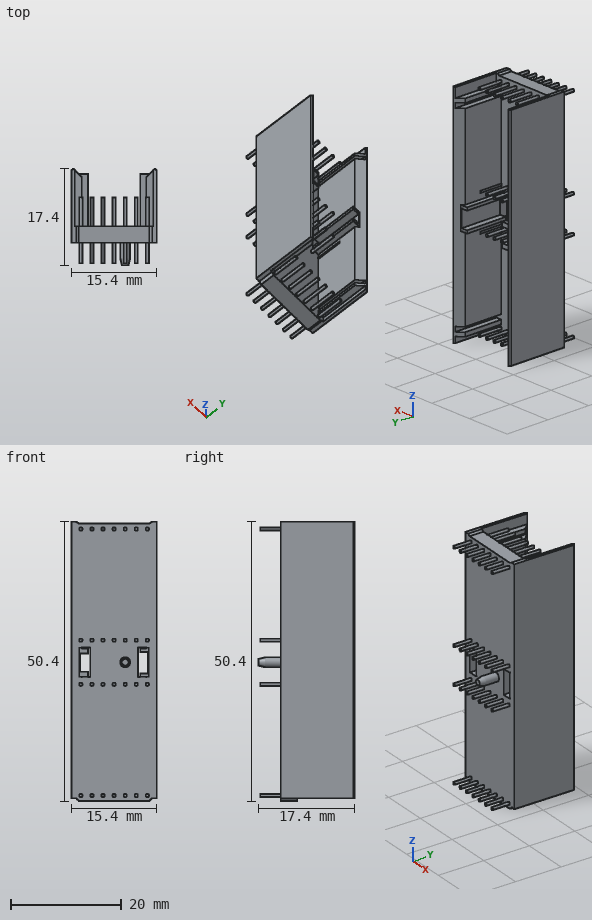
import cadquery as cq


width = 15.4
half_width = width / 2
wall_height = 13.4
length = 50.35
base_half_length = 25.0
wall_top = length - base_half_length
wall_bottom = -24.5

base_thickness = 3.0
end_land = 0.85
end_slope_width = 0.5

wall_thickness = 0.6
tip_peak_inset = 0.35
tip_outer_drop = 0.3
rail_inset = 1.9
rail_half_length = 21.25
end_tooth_pitch = 1.95
end_tooth_length = 0.9

post_inset = 3.0
post_height = 12.45
post_center_z = -0.075
post_half_span = 2.55
gap_floor_inset = 1.6
left_half_gap = 1.6
right_half_gap = 1.9

window_inset = 1.45
window_width = 1.9
window_length = 5.3

pin_diameter = 0.6
pin_tail = 3.7
pin_top = 8.2
pins_per_row = 7
row_span = 12.0
pin_pitch = row_span / (pins_per_row - 1)
inner_row = 4.0
outer_row = 24.0

peg_diameter = 1.8
peg_tip_diameter = 1.2
peg_length = 4.05
peg_straight = 2.8


def box(x_range, y_range, z_range):
    """Box spanning the given (low, high) ranges."""
    sizes = [high - low for low, high in (x_range, y_range, z_range)]
    corner = (x_range[0], y_range[0], z_range[0])
    return cq.Workplane("XY").box(*sizes, centered=False).translate(corner)


def base_plate():
    """Plate whose middle is shifted down from its side strips by sloped shoulders."""
    outer = half_width
    shoulder = outer - end_land
    middle = shoulder - end_slope_width
    right_side = [
        (middle, -base_half_length),
        (shoulder, wall_bottom),
        (outer, wall_bottom),
        (outer, wall_top),
        (shoulder, wall_top),
        (middle, base_half_length),
    ]
    left_side = [(-x, z) for x, z in reversed(right_side)]
    return cq.Workplane("XZ").polyline(right_side + left_side).close().extrude(-base_thickness)


def lead_in_y(inset):
    """Y of the 45-degree inner tip at a distance in from the outer face."""
    return wall_height - (inset - tip_peak_inset)


def wall_section(inner_inset, z_low, z_high):
    """Left-hand wall of the given thickness, pointed along its free edge."""
    outline = [
        (0, 0),
        (inner_inset, 0),
        (inner_inset, lead_in_y(inner_inset)),
        (tip_peak_inset, wall_height),
        (0, wall_height - tip_outer_drop),
    ]
    section = cq.Workplane("XY").polyline(outline).close().extrude(z_high - z_low)
    return section.translate((-half_width, 0, z_low))


def left_wall(half_gap):
    """Left-hand wall with its long rail, end teeth and latch posts."""
    wall = wall_section(wall_thickness, wall_bottom, wall_top)
    wall = wall.union(wall_section(rail_inset, -rail_half_length, rail_half_length))

    tooth_top = rail_half_length + end_tooth_pitch
    tooth_base = tooth_top - end_tooth_length
    for z_low, z_high in ((tooth_base, tooth_top), (-tooth_top, -tooth_base)):
        wall = wall.union(wall_section(rail_inset, z_low, z_high))

    post_z = (post_center_z - post_half_span, post_center_z + post_half_span)
    post_x = (-half_width + wall_thickness, -half_width + post_inset)
    posts = box(post_x, (base_thickness, post_height), post_z)
    gap_z = (post_center_z - half_gap, post_center_z + half_gap)
    gap_x = (-half_width + gap_floor_inset, -half_width + post_inset)
    return wall.union(posts).cut(box(gap_x, (base_thickness, wall_height), gap_z))


def window():
    """Left-hand window through the base."""
    x_low = -half_width + window_inset
    z_half = window_length / 2
    return box((x_low, x_low + window_width), (0, base_thickness), (-z_half, z_half))


def pins():
    """Four rows of round pins passing through the base."""
    places = [
        (-row_span / 2 + column * pin_pitch, row)
        for row in (-outer_row, -inner_row, inner_row, outer_row)
        for column in range(pins_per_row)
    ]
    start = cq.Workplane("XZ", origin=(0, pin_top, 0))
    return start.pushPoints(places).circle(pin_diameter / 2).extrude(pin_top + pin_tail)


def peg():
    """Locating peg with a tapered tip, in line with a pin column."""
    tip_radius = peg_tip_diameter / 2
    radius = peg_diameter / 2
    outline = [(0, 0), (radius, 0), (radius, -peg_straight), (tip_radius, -peg_length), (0, -peg_length)]
    profile = cq.Workplane("XY").polyline(outline).close()
    return profile.revolve(360, (0, 0, 0), (0, 1, 0)).translate((pin_pitch, 0, 0))


base = base_plate().union(left_wall(left_half_gap)).union(left_wall(right_half_gap).mirror("YZ"))
base = base.cut(window()).cut(window().mirror("YZ"))
result = base.union(pins()).union(peg())